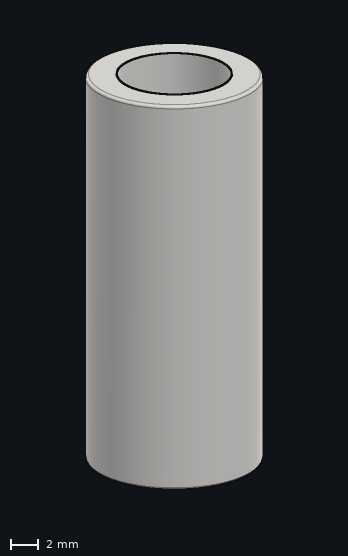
import cadquery as cq

length = 30.0
outer_diameter = 13.0
bore_diameter = 8.37
rim_size = 0.25

sleeve = cq.Workplane("XY").circle(outer_diameter / 2).extrude(length)

sleeve = sleeve.faces("<Z or >Z").edges().fillet(rim_size)

bore = cq.Workplane("XY").circle(bore_diameter / 2).extrude(length)

result = sleeve.cut(bore)